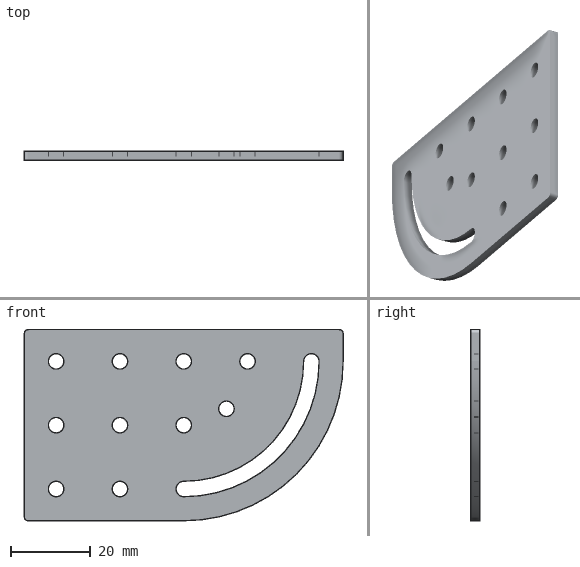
import cadquery as cq
import math

pitch = 16.0
edge_margin = pitch / 2
columns = 5
rows = 3
length = columns * pitch
height = rows * pitch
thickness = 2.29
corner_radius = 1.0
hole_diameter = 3.81

pivot_x = edge_margin + 2 * pitch
pivot_z = height - edge_margin
outer_radius = length - pivot_x
slot_radius = 2 * pitch
index_radius = pitch
index_angle = -48.0

arc_start = -90
arc_middle = -45
arc_end = 0

holes_per_row = (2, 3, 4)


def around_pivot(radius, angle):
    """Point at the given radius and angle (degrees from +X) about the pivot hole."""
    turn = math.radians(angle)
    return (pivot_x + radius * math.cos(turn), pivot_z + radius * math.sin(turn))


def extrude_through(sketch):
    """Extrude an XZ sketch towards +Y through the plate thickness."""
    return sketch.extrude(-thickness)


def make_plate():
    """Rectangle whose lower right corner is one large quarter circle."""
    outline = (
        cq.Workplane("XZ")
        .lineTo(pivot_x, 0)
        .threePointArc(around_pivot(outer_radius, arc_middle), (length, pivot_z))
        .lineTo(length, height)
        .lineTo(0, height)
        .close()
    )
    plate = extrude_through(outline)
    sharp_corners = [(0, 0), (0, height), (length, height)]
    for x, z in sharp_corners:
        corner_edge = cq.selectors.NearestToPointSelector((x, thickness / 2, z))
        plate = plate.edges("|Y").edges(corner_edge).fillet(corner_radius)
    return plate


def make_holes():
    """Cutters for the stepped grid of holes and the single indexing hole."""
    centres = [
        (edge_margin + column * pitch, edge_margin + row * pitch)
        for row, count in enumerate(holes_per_row)
        for column in range(count)
    ]
    centres.append(around_pivot(index_radius, index_angle))
    return extrude_through(cq.Workplane("XZ").pushPoints(centres).circle(hole_diameter / 2))


def make_slot():
    """Cutter for the quarter-circle slot with round ends, as wide as the holes."""
    half_width = hole_diameter / 2
    inner = slot_radius - half_width
    outer = slot_radius + half_width
    lower_end_tip = (pivot_x - half_width, pivot_z - slot_radius)
    upper_end_tip = (pivot_x + slot_radius, pivot_z + half_width)
    outline = (
        cq.Workplane("XZ")
        .moveTo(*around_pivot(outer, arc_start))
        .threePointArc(around_pivot(outer, arc_middle), around_pivot(outer, arc_end))
        .threePointArc(upper_end_tip, around_pivot(inner, arc_end))
        .threePointArc(around_pivot(inner, arc_middle), around_pivot(inner, arc_start))
        .threePointArc(lower_end_tip, around_pivot(outer, arc_start))
        .close()
    )
    return extrude_through(outline)


result = make_plate().cut(make_holes()).cut(make_slot())